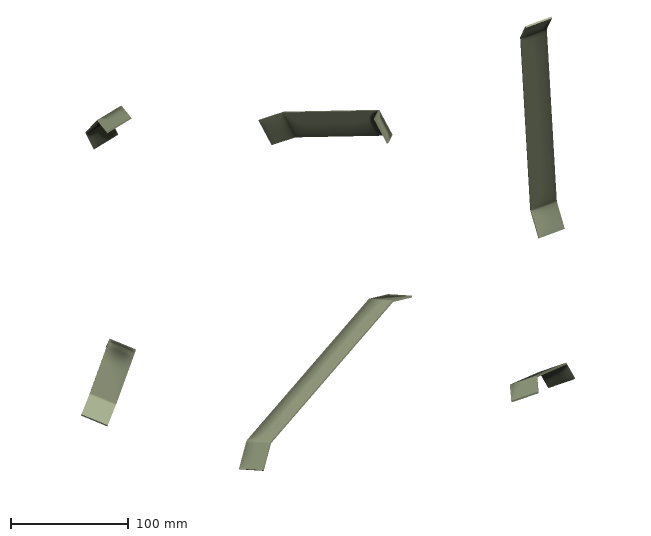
import cadquery as cq
import math

overall_x = 147.64
overall_z = 217.99
tilt_angle = 16.491
tilt = math.radians(tilt_angle)

strip_width = 24.25
thickness = 1.5875
inner_bend_radius = 2 * thickness
outer_bend_radius = inner_bend_radius + thickness

lower_tab_length = 25.875
upper_tab_length = 29.625
upper_tab_rise = 29.73
rise = math.radians(upper_tab_rise)

profile_height = (overall_z - strip_width * math.sin(tilt)) / math.cos(tilt)

start = (0.0, 0.0)
lower_corner = (0.0, lower_tab_length)
end = (overall_x - thickness * math.sin(rise), profile_height)
upper_corner = (
    end[0] - upper_tab_length * math.cos(rise),
    end[1] - upper_tab_length * math.sin(rise),
)

lower_direction = math.pi / 2
middle_direction = math.atan2(
    upper_corner[1] - lower_corner[1],
    upper_corner[0] - lower_corner[0],
)
upper_direction = rise


def offset_end(point, direction):
    """Point on the inner face straight across the sheet from a leg's end."""
    return (
        point[0] + thickness * math.sin(direction),
        point[1] - thickness * math.cos(direction),
    )


def offset_corner(point, direction_in, direction_out):
    """Sharp inner-face corner of the bend whose outer corner is given."""
    bisector = (direction_in + direction_out) / 2
    reach = thickness / math.cos((direction_in - direction_out) / 2)
    return (
        point[0] + reach * math.sin(bisector),
        point[1] - reach * math.cos(bisector),
    )


def point_along(corner, direction, distance):
    """Point at a distance from a corner along a direction."""
    return (
        corner[0] + distance * math.cos(direction),
        corner[1] + distance * math.sin(direction),
    )


def add_bend(sketch, corner, direction_in, direction_out, radius):
    """Draw a straight line up to a rounded corner, then the tangent arc around it."""
    half_turn = abs(direction_in - direction_out) / 2
    setback = radius * math.tan(half_turn)
    arc_start = point_along(corner, direction_in, -setback)
    arc_end = point_along(corner, direction_out, setback)
    return sketch.lineTo(*arc_start).tangentArcPoint(arc_end, relative=False)


def make_strip():
    """Bent sheet profile in the XZ plane, extruded towards -Y."""
    lower_inner = offset_corner(lower_corner, lower_direction, middle_direction)
    upper_inner = offset_corner(upper_corner, middle_direction, upper_direction)
    sketch = cq.Workplane("XZ").moveTo(*start)
    sketch = add_bend(sketch, lower_corner, lower_direction, middle_direction, outer_bend_radius)
    sketch = add_bend(sketch, upper_corner, middle_direction, upper_direction, outer_bend_radius)
    sketch = sketch.lineTo(*end).lineTo(*offset_end(end, upper_direction))
    sketch = add_bend(
        sketch, upper_inner, upper_direction + math.pi, middle_direction + math.pi, inner_bend_radius
    )
    sketch = add_bend(
        sketch, lower_inner, middle_direction + math.pi, lower_direction + math.pi, inner_bend_radius
    )
    sketch = sketch.lineTo(*offset_end(start, lower_direction)).close()
    return sketch.extrude(strip_width)


result = make_strip().rotate((0, 0, 0), (1, 0, 0), tilt_angle)